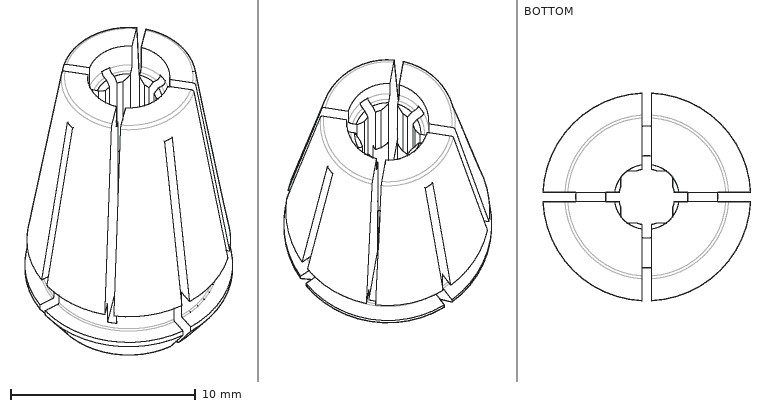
import cadquery as cq
import math

total_height = 18.0
taper_angle = 8.0
taper_base_radius = 5.55
taper_base_z = 4.52
top_round = 0.18
taper_top_radius = taper_base_radius - (total_height - taper_base_z) * math.tan(math.radians(taper_angle))

groove_radius = 4.75
groove_fillet = 0.09
flange_radius = 5.65
flange_top_z = 2.52
flange_rim_z = 2.16
nose_angle = 30.0
nose_round = 0.18
nose_radius = flange_radius - flange_rim_z * math.tan(math.radians(nose_angle))

shank_radius = 1.76
drive_half_width = 1.4
drive_round_radius = 1.51
drive_length = 6.0
relief_radius = 2.23
relief_depth = 1.8
relief_corner_fillet = 0.23
lead_in_radius = 1.8
lead_in_depth = lead_in_radius - drive_round_radius
relief_floor_z = total_height - relief_depth
drive_bottom_z = relief_floor_z - drive_length

slot_width = 0.5
slot_length = 3 * flange_radius
lower_slot_top_z = 16.49
upper_slot_bottom_z = 3.0
lower_slot_angles = (0, 90)
upper_slot_angles = (45, 135)


def make_body():
    """Solid of revolution: nose cone, flange, groove and clamping taper."""
    body = (
        cq.Workplane("XZ")
        .lineTo(nose_radius, 0)
        .lineTo(flange_radius, flange_rim_z)
        .lineTo(flange_radius, flange_top_z)
        .lineTo(groove_radius + groove_fillet, flange_top_z)
        .radiusArc((groove_radius, flange_top_z + groove_fillet), groove_fillet)
        .lineTo(groove_radius, taper_base_z)
        .lineTo(taper_base_radius, taper_base_z)
        .lineTo(taper_top_radius, total_height)
        .lineTo(0, total_height)
        .close()
        .revolve(360, (0, 0), (0, 1))
    )
    body = body.faces(">Z").edges().fillet(top_round)
    return body.faces("<Z").edges().fillet(nose_round)


def cylinder(radius, bottom_z, top_z):
    return cq.Workplane(origin=(0, 0, bottom_z)).circle(radius).extrude(top_z - bottom_z)


def make_bore():
    """Volume removed along the axis."""
    shank = cylinder(shank_radius, 0, drive_bottom_z)
    square = (
        cq.Workplane(origin=(0, 0, drive_bottom_z))
        .rect(2 * drive_half_width, 2 * drive_half_width)
        .extrude(drive_length)
        .intersect(cylinder(shank_radius, drive_bottom_z, relief_floor_z))
    )
    drive_round = cylinder(drive_round_radius, drive_bottom_z, relief_floor_z)
    lead_in = (
        cq.Workplane("XZ", origin=(0, 0, relief_floor_z))
        .lineTo(lead_in_radius, 0)
        .lineTo(drive_round_radius, -lead_in_depth)
        .lineTo(0, -lead_in_depth)
        .close()
        .revolve(360, (0, 0), (0, 1))
    )
    relief = cylinder(relief_radius, relief_floor_z, total_height)
    relief = relief.faces("<Z").edges().fillet(relief_corner_fillet)
    return shank.union(square).union(drive_round).union(lead_in).union(relief)


def make_slot(angle, bottom_z, top_z):
    """Full-width slot through the axis, turned about Z."""
    return (
        cq.Workplane(origin=(0, 0, bottom_z))
        .rect(slot_length, slot_width)
        .extrude(top_z - bottom_z)
        .rotate((0, 0, 0), (0, 0, 1), angle)
    )


result = make_body().cut(make_bore())
for slot_angle in lower_slot_angles:
    result = result.cut(make_slot(slot_angle, 0, lower_slot_top_z))
for slot_angle in upper_slot_angles:
    result = result.cut(make_slot(slot_angle, upper_slot_bottom_z, total_height))